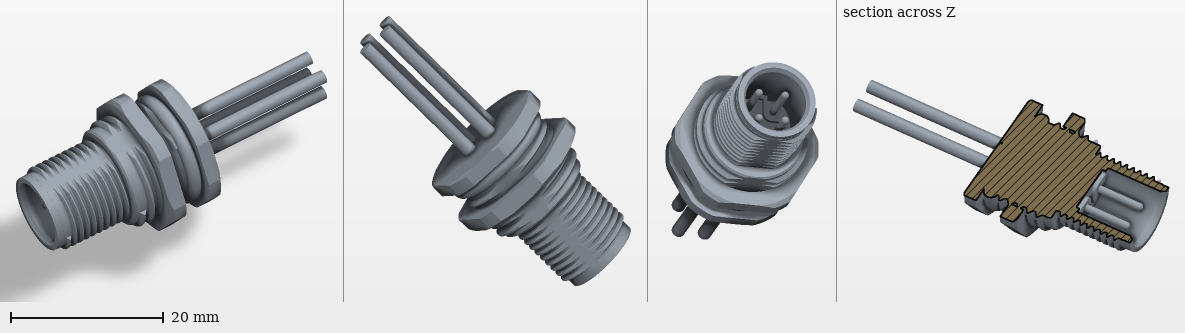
import cadquery as cq
import math


FLANGE_ACROSS_FLATS = 17.0
FLANGE_CORNER_DIA = 18.0
FLANGE_LENGTH = 2.0
FLANGE_FACE_DIA = 17.2

O_RING_SECTION_DIA = 2.0
O_RING_OUTER_DIA = 15.5

NUT_ACROSS_FLATS = 18.0
NUT_CORNER_DIA = 19.5
NUT_REAR_DEPTH = 6.0
NUT_LENGTH = 2.2
NUT_FACE_DIA = 18.3
NUT_BORE_DIA = 14.4

CORNER_CHAMFER_ANGLE = 30.0

BODY_END_DEPTH = 12.0
BODY_CORE_RADIUS = 6.85
BODY_CHAMFER = 0.25
BODY_FLAT_HEIGHT = 6.71
BODY_CREST_RADIUS = 7.47
BODY_PITCH = 1.4
BODY_THREAD_START_DEPTH = 10.95
BODY_THREAD_TURNS = 4.85
BODY_TOOTH_ROOT = 1.0
BODY_TOOTH_CREST = 0.25

SLEEVE_END_DEPTH = 23.0
SLEEVE_CORE_RADIUS = 5.28
SLEEVE_FLAT_HEIGHT = 5.25
SLEEVE_CREST_RADIUS = 5.85
SLEEVE_PITCH = 1.0
SLEEVE_THREAD_START_DEPTH = 21.4
SLEEVE_THREAD_TURNS = 9.4
SLEEVE_TOOTH_ROOT = 0.7
SLEEVE_TOOTH_CREST = 0.15
LEAD_RING_LENGTH = 1.0
SLEEVE_EMBED_LENGTH = 1.0

MOUTH_RADIUS = 4.5
BORE_RADIUS = 4.1
MOUTH_CHAMFER_LENGTH = 0.6
BORE_LENGTH = 8.5
FLOOR_DEPTH = SLEEVE_END_DEPTH - BORE_LENGTH

CROSS_SPAN = 6.95
CROSS_WIDTH = 0.96
CROSS_FILLET = 1.05
CROSS_GROOVE_DEPTH = 0.5
KEY_WIDTH = 1.94
KEY_POCKET_BOTTOM = 3.27
KEY_POCKET_DEPTH = 2.0
KEY_POCKET_DRAFT = 5.0

CONTACT_OFFSET = 2.5 / math.sqrt(2)
PIN_DIA = 1.0
PIN_TIP_DEPTH = 21.0
WIRE_DIA = 1.8
WIRE_LENGTH = 20.0

OVERLAP = 0.2

SEAM_ANGLE = 30.0


def section_at(depth):
    """Workplane across the axis at a depth, facing the mating end (local x = X, local y = Z)."""
    return cq.Workplane("XZ", origin=(0, -depth, 0))


def turn_seam(core):
    return core.rotate((0, 0, 0), (0, 1, 0), SEAM_ANGLE)


def contact_points():
    return [(sx * CONTACT_OFFSET, sz * CONTACT_OFFSET) for sx in (-1, 1) for sz in (-1, 1)]


def revolve_profile(points):
    """Solid of revolution about Y from (radius, depth) points."""
    outline = [(radius, -depth) for radius, depth in points]
    return cq.Workplane("XY").polyline(outline).close().revolve(360, (0, 0, 0), (0, 1, 0))


def chamfer_length(corner_dia, face_dia):
    return (corner_dia - face_dia) / 2 * math.tan(math.radians(CORNER_CHAMFER_ANGLE))


def make_hexagon(across_flats, rear_depth, length):
    across_corners = across_flats / math.cos(math.pi / 6)
    return section_at(rear_depth).polygon(6, across_corners).extrude(length)


def make_flange():
    face_radius = FLANGE_FACE_DIA / 2
    corner_radius = FLANGE_CORNER_DIA / 2
    chamfer = chamfer_length(FLANGE_CORNER_DIA, FLANGE_FACE_DIA)
    envelope = revolve_profile([
        (0, 0),
        (face_radius, 0),
        (corner_radius, chamfer),
        (corner_radius, FLANGE_LENGTH),
        (0, FLANGE_LENGTH),
    ])
    return make_hexagon(FLANGE_ACROSS_FLATS, 0, FLANGE_LENGTH).intersect(envelope)


def make_nut():
    front_depth = NUT_REAR_DEPTH + NUT_LENGTH
    face_radius = NUT_FACE_DIA / 2
    corner_radius = NUT_CORNER_DIA / 2
    chamfer = chamfer_length(NUT_CORNER_DIA, NUT_FACE_DIA)
    envelope = revolve_profile([
        (0, NUT_REAR_DEPTH),
        (corner_radius, NUT_REAR_DEPTH),
        (corner_radius, front_depth - chamfer),
        (face_radius, front_depth),
        (0, front_depth),
    ])
    bore = section_at(NUT_REAR_DEPTH).circle(NUT_BORE_DIA / 2).extrude(NUT_LENGTH)
    return make_hexagon(NUT_ACROSS_FLATS, NUT_REAR_DEPTH, NUT_LENGTH).intersect(envelope).cut(bore)


def make_o_ring():
    section_radius = O_RING_SECTION_DIA / 2
    centre_radius = O_RING_OUTER_DIA / 2 - section_radius
    centre_depth = FLANGE_LENGTH + section_radius
    section = cq.Workplane("XY").center(centre_radius, -centre_depth).circle(section_radius)
    return section.revolve(360, (-centre_radius, 0, 0), (-centre_radius, 1, 0))


def make_thread(core_radius, crest_radius, pitch, turns, start_depth, tooth_root, tooth_crest):
    """Right-handed ridge starting on the +X side and winding toward the flange."""
    root_radius = core_radius - OVERLAP
    flank_slope = (tooth_root - tooth_crest) / 2 / (crest_radius - core_radius)
    root_half = tooth_root / 2 + flank_slope * OVERLAP
    crest_half = tooth_crest / 2
    helix = cq.Wire.makeHelix(pitch, pitch * turns, core_radius)
    tooth = cq.Workplane("XZ").polyline([
        (root_radius, -root_half),
        (crest_radius, -crest_half),
        (crest_radius, crest_half),
        (root_radius, root_half),
    ]).close()
    ridge = tooth.sweep(cq.Workplane(helix), isFrenet=True)
    return ridge.rotate((0, 0, 0), (1, 0, 0), -90).translate((0, -start_depth, 0))


def trim_to_flats(solid, flat_height, rear_depth, front_depth):
    """Keep only what lies between the two flats at Z = +/- flat_height."""
    width = NUT_CORNER_DIA
    slab = section_at(rear_depth).rect(width, 2 * flat_height).extrude(front_depth - rear_depth)
    return solid.intersect(slab)


def make_body():
    core = revolve_profile([
        (0, 0),
        (BODY_CORE_RADIUS, 0),
        (BODY_CORE_RADIUS, BODY_END_DEPTH - BODY_CHAMFER),
        (BODY_CORE_RADIUS - BODY_CHAMFER, BODY_END_DEPTH),
        (0, BODY_END_DEPTH),
    ])
    thread = make_thread(
        BODY_CORE_RADIUS, BODY_CREST_RADIUS, BODY_PITCH, BODY_THREAD_TURNS,
        BODY_THREAD_START_DEPTH, BODY_TOOTH_ROOT, BODY_TOOTH_CREST,
    )
    return trim_to_flats(turn_seam(core).union(thread), BODY_FLAT_HEIGHT, 0, BODY_END_DEPTH)


def make_sleeve():
    rear_depth = BODY_END_DEPTH - SLEEVE_EMBED_LENGTH
    ring_depth = SLEEVE_END_DEPTH - LEAD_RING_LENGTH
    core = section_at(rear_depth).circle(SLEEVE_CORE_RADIUS).extrude(ring_depth - rear_depth)
    thread = make_thread(
        SLEEVE_CORE_RADIUS, SLEEVE_CREST_RADIUS, SLEEVE_PITCH, SLEEVE_THREAD_TURNS,
        SLEEVE_THREAD_START_DEPTH, SLEEVE_TOOTH_ROOT, SLEEVE_TOOTH_CREST,
    )
    threaded = trim_to_flats(turn_seam(core).union(thread), SLEEVE_FLAT_HEIGHT, rear_depth, ring_depth)
    lead_ring = section_at(ring_depth).circle(SLEEVE_FLAT_HEIGHT).extrude(LEAD_RING_LENGTH)
    return threaded.union(lead_ring)


def make_socket():
    return revolve_profile([
        (0, FLOOR_DEPTH),
        (BORE_RADIUS, FLOOR_DEPTH),
        (BORE_RADIUS, SLEEVE_END_DEPTH - MOUTH_CHAMFER_LENGTH),
        (MOUTH_RADIUS, SLEEVE_END_DEPTH),
        (0, SLEEVE_END_DEPTH),
    ])


def make_cross_groove():
    floor = section_at(FLOOR_DEPTH)
    horizontal = floor.rect(CROSS_SPAN, CROSS_WIDTH).extrude(-CROSS_GROOVE_DEPTH)
    vertical = floor.rect(CROSS_WIDTH, CROSS_SPAN).extrude(-CROSS_GROOVE_DEPTH)
    inner_corners = cq.selectors.BoxSelector(
        (-CROSS_WIDTH, -SLEEVE_END_DEPTH, -CROSS_WIDTH), (CROSS_WIDTH, 0, CROSS_WIDTH)
    )
    cross = horizontal.union(vertical)
    return cross.edges("|Y").edges(inner_corners).fillet(CROSS_FILLET)


def make_key_pockets():
    """Two drafted pockets that leave a key between them at the top of the socket floor."""
    width = BORE_RADIUS
    centre_x = (KEY_WIDTH + width) / 2
    centre_z = KEY_POCKET_BOTTOM + width / 2
    pockets = (
        section_at(FLOOR_DEPTH)
        .pushPoints([(-centre_x, centre_z), (centre_x, centre_z)])
        .rect(width, width)
        .extrude(-KEY_POCKET_DEPTH, taper=KEY_POCKET_DRAFT)
    )
    bore = section_at(FLOOR_DEPTH).circle(BORE_RADIUS).extrude(-KEY_POCKET_DEPTH)
    return pockets.intersect(bore)


def make_pins():
    rear_depth = FLOOR_DEPTH - OVERLAP
    pins = (
        section_at(rear_depth)
        .pushPoints(contact_points())
        .circle(PIN_DIA / 2)
        .extrude(PIN_TIP_DEPTH - PIN_DIA / 2 - rear_depth)
    )
    tips = (
        section_at(PIN_TIP_DEPTH - PIN_DIA / 2)
        .pushPoints(contact_points())
        .sphere(PIN_DIA / 2)
    )
    return pins.union(tips)


def make_wires():
    return (
        section_at(OVERLAP)
        .pushPoints(contact_points())
        .circle(WIRE_DIA / 2)
        .extrude(-(WIRE_LENGTH + OVERLAP))
    )


shell = make_body().union(make_sleeve()).union(make_flange()).union(make_o_ring()).union(make_nut())
shell = shell.cut(make_socket()).cut(make_cross_groove()).cut(make_key_pockets())
result = shell.union(make_pins()).union(make_wires())